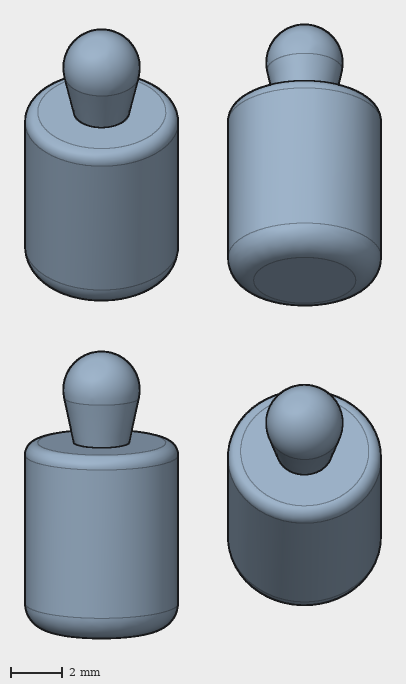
import cadquery as cq
import math

total_height = 11.0
body_diameter = 6.0
body_height = 7.4
top_edge_radius = 0.5
bottom_edge_radius = 1.0
ball_diameter = 3.0
neck_taper_angle = 12.0

ball_radius = ball_diameter / 2
ball_center_z = total_height - ball_radius
taper = math.radians(neck_taper_angle)
tangent_radius = ball_radius * math.cos(taper)
tangent_z = ball_center_z - ball_radius * math.sin(taper)
neck_base_radius = tangent_radius - (tangent_z - body_height) * math.tan(taper)


def make_body():
    """Cylinder standing on Z = 0 with both end edges rounded."""
    cylinder = cq.Workplane("XY").circle(body_diameter / 2).extrude(body_height)
    rounded_top = cylinder.edges(">Z").fillet(top_edge_radius)
    return rounded_top.edges("<Z").fillet(bottom_edge_radius)


def make_ball_pin():
    """Tapered neck running into a ball, revolved about the Z axis."""
    profile = (
        cq.Workplane("XZ")
        .moveTo(0, body_height)
        .lineTo(neck_base_radius, body_height)
        .lineTo(tangent_radius, tangent_z)
        .threePointArc((ball_radius, ball_center_z), (0, total_height))
        .close()
    )
    return profile.revolve(360, (0, 0, 0), (0, 1, 0))


result = make_body().union(make_ball_pin())